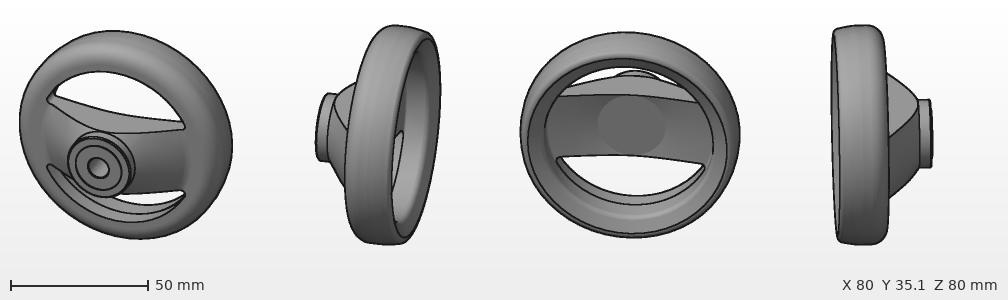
import cadquery as cq
import math


RIM_RADIUS = 80.01 / 2
RIM_DEPTH = 18.1
RIM_FRONT_ROUND = 6.1
BAND_START = 8.5
CROWN_START = (39.45, 3.6)
BACK_CHAMFER_START = (38.95, 1.25)
CROWN_RADIUS = 22.0

CREST_OUTER_RADIUS = 37.2
CREST_INNER_RADIUS = 36.5
BACK_CORNER_MIDDLE = (38.25, 0.4)
WINDOW_RADIUS = 30.8
RECESS_RADIUS = 31.0
RECESS_MOUTH_DEPTH = 2.9
RECESS_MOUTH_ROUND = 2.0

WEB_FRONT_RADIUS = 28.4
WEB_FRONT_FILLET = 4.0
WEB_BACK_INNER_DEPTH = 15.6
WEB_BACK_OUTER_DEPTH = 11.5
WEB_BACK_FILLET = 0.8
SPOKE_WIDTH = 25.3
WINDOW_CORNER_RADIUS = 1.5

HUB_RADIUS = 24.89 / 2
HUB_START = 30.2
HUB_END = 34.7
HUB_EDGE_CHAMFER = 0.5
BUSHING_RADIUS = 18.03 / 2
BUSHING_END = 35.05
BORE_RADIUS = 7.92 / 2
BORE_DEPTH = 15.0
BORE_CHAMFER = 0.25

MATCH_TOLERANCE = 0.01


def at(radius, depth):
    """XY position of a profile point."""
    return (radius, -depth)


def disc(radius, start_depth, end_depth):
    """Cylinder on the wheel axis between two depths."""
    length = end_depth - start_depth
    return cq.Workplane("XZ", origin=(0, -start_depth, 0)).circle(radius).extrude(length)


def select_circle(body, radius, depth):
    """Circular edges with the given radius and depth."""

    def is_wanted(edge):
        if edge.geomType() != "CIRCLE":
            return False
        same_depth = abs(edge.Center().y + depth) < MATCH_TOLERANCE
        same_radius = abs(edge.radius() - radius) < MATCH_TOLERANCE
        return same_depth and same_radius

    return body.newObject([edge for edge in body.edges().vals() if is_wanted(edge)])


def make_wheel_blank():
    """Rim, solid web and hub as one revolved body."""
    band_end = RIM_DEPTH - RIM_FRONT_ROUND
    border_radius = RIM_RADIUS - RIM_FRONT_ROUND
    round_reach = RIM_FRONT_ROUND * math.sqrt(0.5)
    profile = (
        cq.Workplane("XY")
        .moveTo(*at(0, WEB_BACK_INNER_DEPTH))
        .lineTo(*at(HUB_RADIUS, WEB_BACK_INNER_DEPTH))
        .lineTo(*at(RECESS_RADIUS, WEB_BACK_OUTER_DEPTH))
        .lineTo(*at(RECESS_RADIUS, RECESS_MOUTH_DEPTH))
        .lineTo(*at(CREST_INNER_RADIUS, 0))
        .lineTo(*at(CREST_OUTER_RADIUS, 0))
        .threePointArc(at(*BACK_CORNER_MIDDLE), at(*BACK_CHAMFER_START))
        .lineTo(*at(*CROWN_START))
        .radiusArc(at(RIM_RADIUS, BAND_START), CROWN_RADIUS)
        .lineTo(*at(RIM_RADIUS, band_end))
        .threePointArc(
            at(border_radius + round_reach, band_end + round_reach),
            at(border_radius, RIM_DEPTH),
        )
        .lineTo(*at(WEB_FRONT_RADIUS, RIM_DEPTH))
        .lineTo(*at(HUB_RADIUS, HUB_START))
        .lineTo(*at(HUB_RADIUS, HUB_END))
        .lineTo(*at(0, HUB_END))
        .close()
    )
    body = profile.revolve(360, (0, 0, 0), (0, 1, 0))
    body = select_circle(body, WEB_FRONT_RADIUS, RIM_DEPTH).fillet(WEB_FRONT_FILLET)
    body = select_circle(body, RECESS_RADIUS, RECESS_MOUTH_DEPTH).fillet(RECESS_MOUTH_ROUND)
    body = select_circle(body, RECESS_RADIUS, WEB_BACK_OUTER_DEPTH).fillet(WEB_BACK_FILLET)
    return select_circle(body, HUB_RADIUS, HUB_END).chamfer(HUB_EDGE_CHAMFER)


def make_windows():
    """Two round-cornered circular segments that leave a straight spoke between them."""
    spoke = cq.Workplane("XZ").rect(2 * RIM_RADIUS, SPOKE_WIDTH).extrude(BUSHING_END)
    windows = disc(WINDOW_RADIUS, 0, BUSHING_END).cut(spoke)
    return windows.edges("|Y").fillet(WINDOW_CORNER_RADIUS)


def add_bushing(body):
    """Bushing that stands slightly proud of the hub, with a blind chamfered bore."""
    bushing = disc(BUSHING_RADIUS, HUB_START, BUSHING_END)
    bore = disc(BORE_RADIUS, BUSHING_END - BORE_DEPTH, BUSHING_END)
    body = body.union(bushing).cut(bore)
    return select_circle(body, BORE_RADIUS, BUSHING_END).chamfer(BORE_CHAMFER)


wheel = make_wheel_blank().cut(make_windows())
result = add_bushing(wheel)